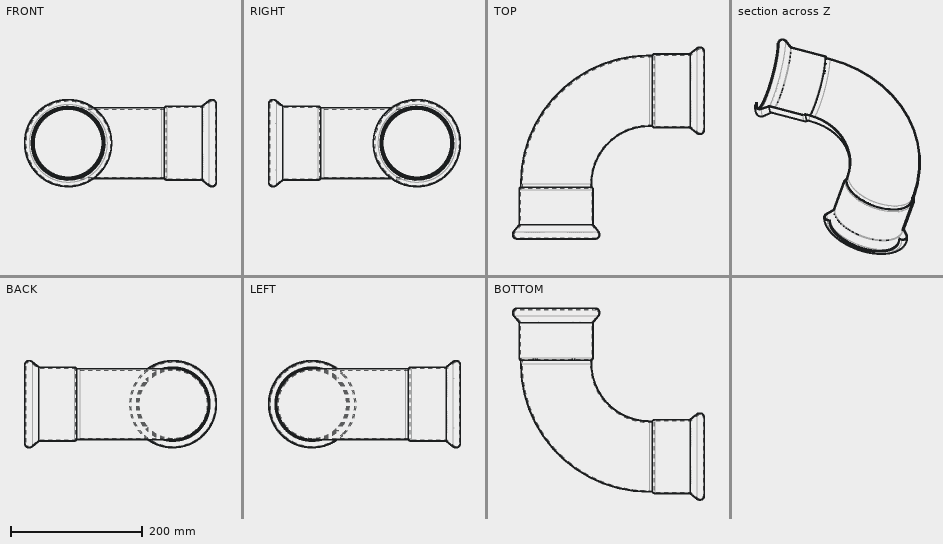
import math

import cadquery as cq

wall = 2.0
tube_radius = 54.0
socket_bore_radius = 54.4
mouth_radius = 55.2
bead_peak_radius = 66.4
centre_to_face = 226.0

cone_end = 21.8
socket_shoulder = 75.3
bend_start = 84.4

bead_fillet = 7.0
shoulder_fillet = 4.4
mouth_chamfer = 0.7

tube_bore_radius = tube_radius - wall
socket_radius = socket_bore_radius + wall
bead_centre_radius = bead_peak_radius - bead_fillet
bend_radius = centre_to_face - bend_start


def point_on_circle(centre, radius, angle):
    """Point of a profile circle; coordinates are (radius from axis, depth from end face)."""
    return (centre[0] + radius * math.cos(angle), centre[1] + radius * math.sin(angle))


def cone_tangent_angle(centre, radius, point):
    """Angle at which the line from an outer point touches the circle, on its outward side."""
    offset_r = point[0] - centre[0]
    offset_depth = point[1] - centre[1]
    direction = math.atan2(offset_depth, offset_r)
    return direction - math.acos(radius / math.hypot(offset_r, offset_depth))


bead_centre = (bead_centre_radius, bead_fillet)
cone_root = (socket_radius, cone_end)
tangent_angle = cone_tangent_angle(bead_centre, bead_fillet, cone_root)
shoulder_centre = (socket_radius - shoulder_fillet, socket_shoulder)
shoulder_end_angle = math.acos((tube_radius - shoulder_centre[0]) / shoulder_fillet)


def make_socket():
    """Socket around the Y axis with its end face at Y = 0, ending where the bend starts."""
    bead_mid_angle = (tangent_angle - math.pi / 2) / 2
    groove_fillet = bead_fillet - wall
    shoulder_inner_fillet = shoulder_fillet - wall
    tube_end = point_on_circle(shoulder_centre, shoulder_inner_fillet, shoulder_end_angle)
    profile = (
        cq.Workplane("XY")
        .moveTo(mouth_radius, mouth_chamfer)
        .lineTo(mouth_radius + mouth_chamfer, 0)
        .lineTo(bead_centre_radius, 0)
        .threePointArc(
            point_on_circle(bead_centre, bead_fillet, bead_mid_angle),
            point_on_circle(bead_centre, bead_fillet, tangent_angle),
        )
        .lineTo(*cone_root)
        .lineTo(socket_radius, socket_shoulder)
        .threePointArc(
            point_on_circle(shoulder_centre, shoulder_fillet, shoulder_end_angle / 2),
            point_on_circle(shoulder_centre, shoulder_fillet, shoulder_end_angle),
        )
        .lineTo(tube_radius, bend_start)
        .lineTo(tube_bore_radius, bend_start)
        .lineTo(tube_bore_radius, tube_end[1])
        .lineTo(*tube_end)
        .threePointArc(
            point_on_circle(shoulder_centre, shoulder_inner_fillet, shoulder_end_angle / 2),
            (socket_bore_radius, socket_shoulder),
        )
        .lineTo(socket_bore_radius, cone_end)
        .threePointArc(
            point_on_circle(cone_root, wall, math.pi + tangent_angle / 2),
            point_on_circle(cone_root, wall, math.pi + tangent_angle),
        )
        .lineTo(*point_on_circle(bead_centre, groove_fillet, tangent_angle))
        .threePointArc(
            point_on_circle(bead_centre, groove_fillet, bead_mid_angle),
            (bead_centre_radius, wall),
        )
        .lineTo(mouth_radius, wall)
        .close()
    )
    return profile.revolve(360, (0, 0, 0), (0, 1, 0))


inlet = make_socket().translate((0, -centre_to_face, 0))
outlet = inlet.rotate((0, 0, 0), (0, 0, 1), 90)

bend = (
    cq.Workplane("XZ", origin=(0, -bend_radius, 0))
    .circle(tube_radius)
    .circle(tube_bore_radius)
    .revolve(90, (bend_radius, 1, 0), (bend_radius, 0, 0))
)

result = inlet.union(bend).union(outlet)